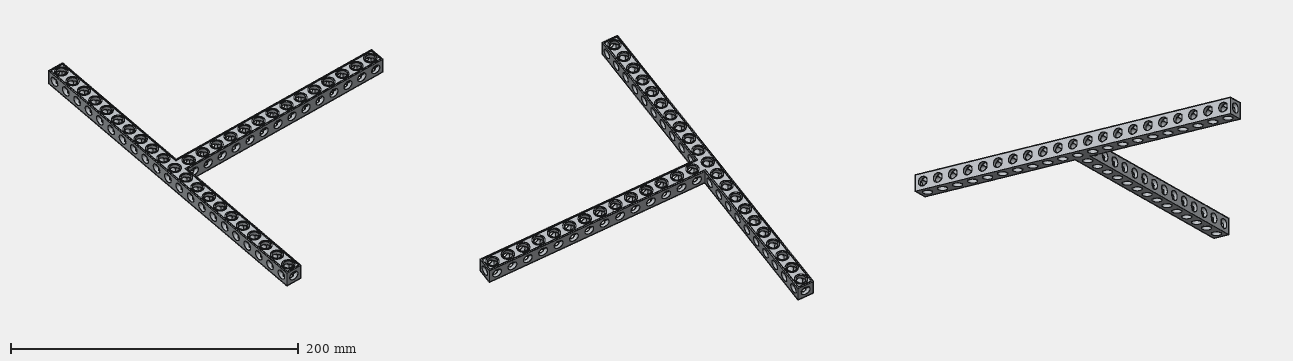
import cadquery as cq

longest_side = 262.5
bar_modules = 21
stem_modules = 14
module = longest_side / bar_modules
stem_column = bar_modules // 2

hole_diameter = 7.0
pad_opening_diameter = 9.2
pad_inset = 1.1
pad_thickness = 0.15

body_height = module - pad_thickness
beam_depth = (1 + stem_modules) * module
half_module = module / 2


def module_center(index):
    """Distance from the beam's corner to the middle of a module."""
    return (index + 0.5) * module


def tee_plate(inset, bottom, thickness):
    """Flat T with its outline moved inwards by inset."""
    width = module - 2 * inset
    plane = cq.Workplane("XY", origin=(0, 0, bottom))
    bar = (
        plane.center(longest_side / 2, half_module)
        .rect(longest_side - 2 * inset, width)
        .extrude(thickness)
    )
    stem = (
        plane.center(module_center(stem_column), beam_depth / 2)
        .rect(width, beam_depth - 2 * inset)
        .extrude(thickness)
    )
    return bar.union(stem)


def drill(plane, centers, diameter, depth):
    """Row of cylinders to be cut away, starting on the given plane."""
    return plane.pushPoints(centers).circle(diameter / 2).extrude(depth)


bar_xs = [module_center(i) for i in range(bar_modules)]
beam_ys = [module_center(j) for j in range(stem_modules + 1)]

bar_centers = [(x, half_module) for x in bar_xs]
stem_centers = [(module_center(stem_column), y) for y in beam_ys[1:]]
top_centers = bar_centers + stem_centers
z_holes = drill(cq.Workplane("XY"), top_centers, hole_diameter, body_height)

front_centers = [(x, half_module) for x in bar_xs]
end_centers = [(y, half_module) for y in beam_ys]
y_holes = drill(cq.Workplane("XZ"), front_centers, hole_diameter, -beam_depth)
x_holes = drill(cq.Workplane("YZ"), end_centers, hole_diameter, longest_side)

body = tee_plate(0, 0, body_height).cut(z_holes).cut(y_holes).cut(x_holes)

pad_plane = cq.Workplane("XY", origin=(0, 0, body_height))
pad_openings = drill(pad_plane, top_centers, pad_opening_diameter, pad_thickness)
pad = tee_plate(pad_inset, body_height, pad_thickness).cut(pad_openings)

result = body.union(pad)